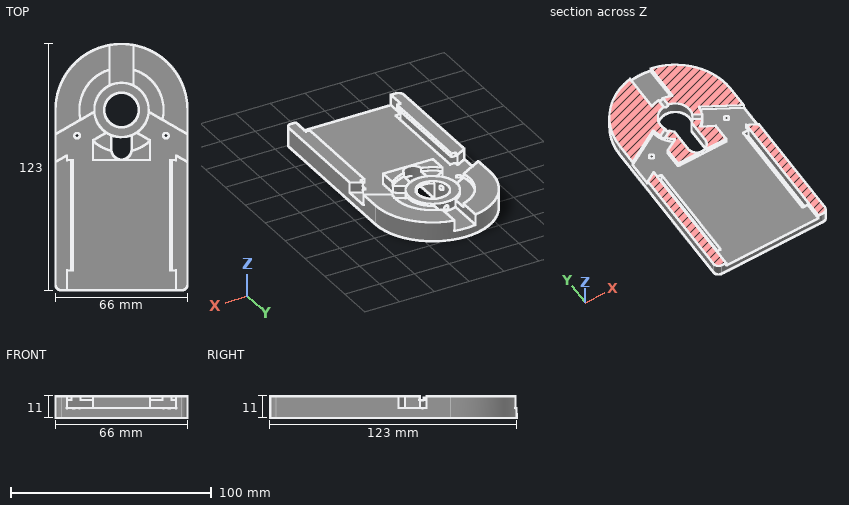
import cadquery as cq
import math

width = 66.0
tail_length = 90.0
thickness = 11.0
floor_z = 5.0
corner_radius = 3.0

bore_radius = 8.6
hub_radius = 13.6
hub_top_z = 10.3
ring_recess_radius = 21.0
ring_recess_depth = 2.0

channel_width = 12.0
lower_channel_tilt = 30.0
radial_hole_diameter = 2.4
radial_hole_z = 7.0

pin_hole_diameter = 2.6
pin_hole_distance = 25.6

tray_width = 54.5
block_width = 28.6
block_end_y = -25.0
slot_width = 10.0
slot_end_y = -24.7

lip_width = 2.2
lip_thickness = 2.0
lip_start_y = -25.0
lip_end_y = -80.0
relief_clearance = 0.8

body_radius = width / 2
channel_depth = thickness - floor_z
lower_channel_angles = (180 + lower_channel_tilt, -lower_channel_tilt)
channel_angles = (90, *lower_channel_angles)
recess_z = thickness - ring_recess_depth


def cylinder(radius, bottom_z, top_z):
    return cq.Workplane("XY", origin=(0, 0, bottom_z)).circle(radius).extrude(top_z - bottom_z)


def box(x_min, x_max, y_min, y_max, z_min, z_max):
    size = (x_max - x_min, y_max - y_min, z_max - z_min)
    return cq.Workplane("XY", origin=(x_min, y_min, z_min)).box(*size, centered=False)


def make_body():
    """Round-nosed plate with the two tail corners rounded."""
    tail = box(-body_radius, body_radius, -tail_length, 0, 0, thickness)
    tail = tail.edges("|Z and <Y").fillet(corner_radius)
    return tail.union(cylinder(body_radius, 0, thickness))


def make_channel(angle):
    """Cutter for one open channel running outwards from the hub axis."""
    half_width = channel_width / 2
    channel = box(0, width, -half_width, half_width, floor_z, thickness)
    return channel.rotate((0, 0, 0), (0, 0, 1), angle)


def make_tray():
    """Cutter for the tray, leaving the block and bounded towards the nose by the two lower channels."""
    half_tray = tray_width / 2
    half_block = block_width / 2
    slope = math.tan(math.radians(lower_channel_tilt))
    tray = (
        cq.Workplane("XY", origin=(0, 0, floor_z))
        .moveTo(-half_tray, -tail_length)
        .lineTo(half_tray, -tail_length)
        .lineTo(half_tray, -half_tray * slope)
        .lineTo(0, 0)
        .lineTo(-half_tray, -half_tray * slope)
        .close()
        .extrude(channel_depth)
    )
    block = box(-half_block, half_block, block_end_y, 0, floor_z, thickness)
    return tray.cut(block)


def make_lip_and_relief():
    """Left retaining lip and the floor opening beneath it."""
    wall_x = -tray_width / 2
    lip_edge_x = wall_x + lip_width
    lip = box(wall_x, lip_edge_x, lip_end_y, lip_start_y, thickness - lip_thickness, thickness)
    relief = box(wall_x, lip_edge_x + relief_clearance, lip_end_y, lip_start_y, 0, floor_z)
    return lip, relief


def make_slot():
    """Round-ended slot from the bore towards the tray, bridged by the top of the hub."""
    slot_radius = slot_width / 2
    end_centre_y = slot_end_y + slot_radius
    slot = box(-slot_radius, slot_radius, end_centre_y, 0, 0, recess_z)
    return slot.union(cylinder(slot_radius, 0, thickness).translate((0, end_centre_y, 0)))


def make_radial_hole(angle):
    """Cutter for a pin hole through the hub wall, in line with a channel."""
    hole = (
        cq.Workplane("YZ")
        .center(0, radial_hole_z)
        .circle(radial_hole_diameter / 2)
        .extrude(hub_radius)
    )
    return hole.rotate((0, 0, 0), (0, 0, 1), angle)


def make_pin_hole(angle):
    hole = cylinder(pin_hole_diameter / 2, 0, thickness).translate((pin_hole_distance, 0, 0))
    return hole.rotate((0, 0, 0), (0, 0, 1), angle)


result = make_body().cut(cylinder(ring_recess_radius, recess_z, thickness))
for channel_angle in channel_angles:
    result = result.cut(make_channel(channel_angle))
result = result.cut(make_tray())

result = result.union(cylinder(hub_radius, 0, hub_top_z))
result = result.cut(cylinder(bore_radius, 0, thickness)).cut(make_slot())

left_lip, left_relief = make_lip_and_relief()
for lip, relief in ((left_lip, left_relief), (left_lip.mirror("YZ"), left_relief.mirror("YZ"))):
    result = result.union(lip).cut(relief)

for channel_angle in channel_angles:
    result = result.cut(make_radial_hole(channel_angle))
for pin_angle in lower_channel_angles:
    result = result.cut(make_pin_hole(pin_angle))